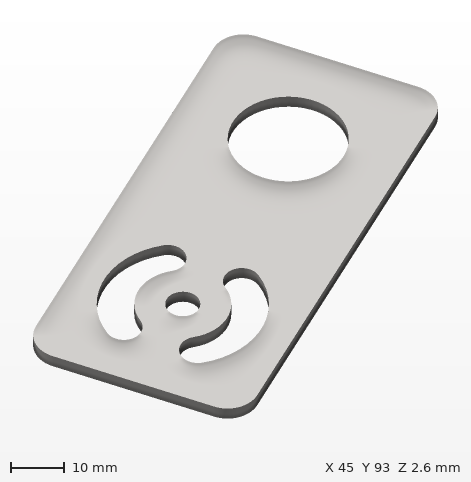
import cadquery as cq
import math

width = 45.0
length = 93.0
thickness = 2.6
corner_radius = 6.0

hole_end_distance = width / 2
hole_y = length / 2 - hole_end_distance
large_hole_diameter = 22.5
pivot_hole_diameter = 6.5

slot_outer_radius = 16.0
slot_inner_radius = 9.0
slot_half_angle = 53.0
slot_middle_radius = (slot_outer_radius + slot_inner_radius) / 2


def polar_point(radius, degrees):
    angle = math.radians(degrees)
    return (radius * math.cos(angle), radius * math.sin(angle) - hole_y)


def curved_slot(direction):
    """Round-ended arc slot centred on the given direction from the pivot."""
    start = direction - slot_half_angle
    end = direction + slot_half_angle
    end_radius = (slot_outer_radius - slot_inner_radius) / 2
    tip_radius = math.hypot(slot_middle_radius, end_radius)
    tip_angle = math.degrees(math.atan2(end_radius, slot_middle_radius))
    return (
        cq.Workplane("XY")
        .moveTo(*polar_point(slot_outer_radius, start))
        .threePointArc(polar_point(slot_outer_radius, direction), polar_point(slot_outer_radius, end))
        .threePointArc(polar_point(tip_radius, end + tip_angle), polar_point(slot_inner_radius, end))
        .threePointArc(polar_point(slot_inner_radius, direction), polar_point(slot_inner_radius, start))
        .threePointArc(polar_point(tip_radius, start - tip_angle), polar_point(slot_outer_radius, start))
        .close()
        .extrude(thickness)
    )


def round_hole(diameter, y):
    return cq.Workplane("XY").center(0, y).circle(diameter / 2).extrude(thickness)


plate = (
    cq.Workplane("XY")
    .box(width, length, thickness, centered=(True, True, False))
    .edges("|Z")
    .fillet(corner_radius)
)
plate = plate.cut(round_hole(large_hole_diameter, hole_y))
plate = plate.cut(round_hole(pivot_hole_diameter, -hole_y))
for slot_direction in (0, 180):
    plate = plate.cut(curved_slot(slot_direction))

result = plate